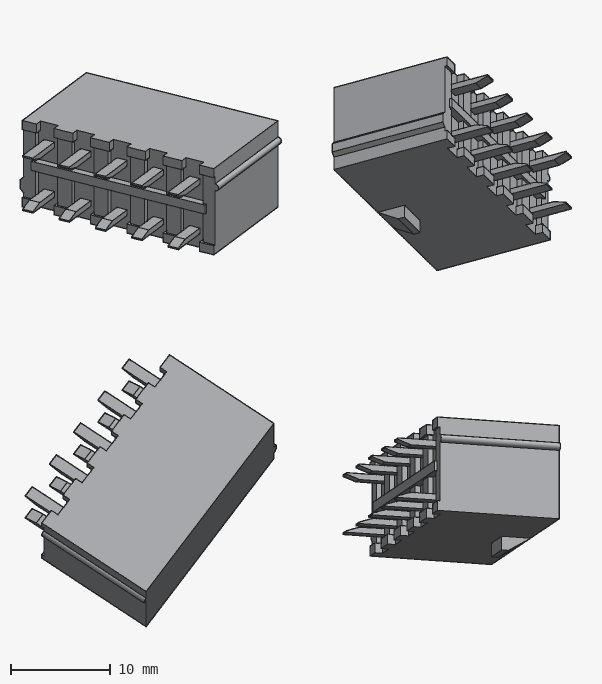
import cadquery as cq

overall_width = 23
body_width = 22.2
body_depth = 12.8
body_height = 9.6
body_left = -body_width / 2
body_right = body_width / 2
body_bottom = -body_height / 2
body_top = body_height / 2
mating_face = body_depth

column_count = 5
column_pitch = 4.2
post_recess = 0.25
channel_depth = 0.8
channel_width = 2.58
notch_width = 2.02
lip_height = 1.01
bar_length = 20.15
bar_height = 1.01

pin_width = 1.2
pin_thickness = 0.62
pin_projection = 3.5
pin_tip_thickness = 0.15
pin_taper_length = 1.35
pin_row_spread = 6.12
pin_middle_height = -0.2

left_rib_lift = 1.45
left_rib_base = 1.75
left_rib_chamfer = 0.4
right_rib_height = 0.78
right_rib_top_drop = 1.8
rib_projection = (overall_width - body_width) / 2

latch_width = 3.38
latch_depth = 3.04
latch_flat = 0.71
latch_height = 1.4

column_positions = [(i - (column_count - 1) / 2) * column_pitch for i in range(column_count)]


def block(width, y_start, y_end, height, x_middle=0):
    """Box centred in Z, between two Y positions."""
    depth = y_end - y_start
    return cq.Workplane("XY").box(width, depth, height).translate((x_middle, y_start + depth / 2, 0))


def housing():
    """Block with end-to-end recess, pin channels, lip notches and the middle bar."""
    between_lips = body_height - 2 * lip_height
    body = block(body_width, 0, body_depth, body_height)
    body = body.cut(block(body_width, 0, post_recess, between_lips))
    for x in column_positions:
        body = body.cut(block(channel_width, 0, channel_depth, between_lips, x))
        body = body.cut(block(notch_width, 0, channel_depth, body_height, x))
    return body.union(block(bar_length, 0, channel_depth, bar_height))


def pin(x_middle, side):
    """Pin of the upper (side = 1) or lower (side = -1) row, tapered on its inner face."""
    outer = pin_middle_height + side * pin_row_spread / 2
    inner = outer - side * pin_thickness
    tip_inner = outer - side * pin_tip_thickness
    profile = [
        (channel_depth, outer),
        (-pin_projection, outer),
        (-pin_projection, tip_inner),
        (pin_taper_length - pin_projection, inner),
        (channel_depth, inner),
    ]
    solid = cq.Workplane("YZ").polyline(profile).close().extrude(pin_width / 2, both=True)
    return solid.translate((x_middle, 0, 0))


def rib(profile):
    """Rib with an XZ profile, running from the recessed pin face to the mating face."""
    solid = profile.close().extrude(post_recess - mating_face)
    return solid.translate((0, post_recess, 0))


def left_rib():
    """Keying rib with both long edges bevelled."""
    outer = body_left - rib_projection
    base_bottom = body_bottom + left_rib_lift
    base_top = base_bottom + left_rib_base
    points = [
        (body_left, base_bottom),
        (outer, base_bottom + left_rib_chamfer),
        (outer, base_top - left_rib_chamfer),
        (body_left, base_top),
    ]
    return rib(cq.Workplane("XZ").polyline(points))


def right_rib():
    """Narrow keying rib with a rounded crest."""
    top = body_top - right_rib_top_drop
    bottom = top - right_rib_height
    crest = (body_right + rib_projection, (top + bottom) / 2)
    profile = (
        cq.Workplane("XZ")
        .moveTo(body_right, bottom)
        .threePointArc(crest, (body_right, top))
    )
    return rib(profile)


def latch():
    """Locking ramp that rises toward the mating face."""
    front = mating_face - latch_depth
    crest = body_bottom - latch_height
    points = [
        (mating_face, body_bottom),
        (front, body_bottom),
        (front, crest),
        (front + latch_flat, crest),
    ]
    return cq.Workplane("YZ").polyline(points).close().extrude(latch_width / 2, both=True)


result = housing().union(left_rib()).union(right_rib()).union(latch())
for column in column_positions:
    for row_side in (1, -1):
        result = result.union(pin(column, row_side))